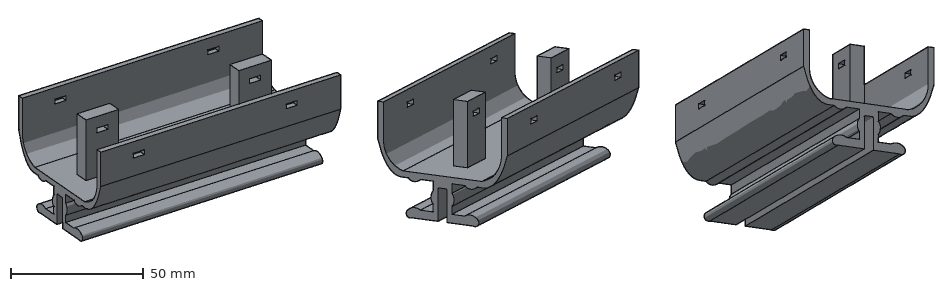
import cadquery as cq
import math

LENGTH = 110.0
WIDTH = 55.0
HEIGHT = 44.0

WALL = 2.5
STRAIGHT_WALL_DEPTH = 14.7
FLOOR_HALF_WIDTH = 16.7
UNDERSIDE_HALF_WIDTH = 16.9
INNER_CORNER_BULGE = 2.4
OUTER_CORNER_LEAD = 1.8
OUTER_CORNER_RUNOUT = 5.6
OUTER_CORNER_DIP = 0.2

NECK_HALF_WIDTH = 4.0
FOOT_THICKNESS = 3.5
CHANNEL_HEIGHT = 12.0
SLOT_HALF_WIDTH = 1.9
SLOT_TOP_Z = 13.2
SLOT_FILLET = 0.6
FOOT_BEAD_END_X = 14.8
FOOT_BEAD_END_Z = 2.9
FOOT_TIP_X = 15.4
FOOT_TIP_Z = 1.8
FOOT_BOTTOM_HALF_WIDTH = 13.0

BEAD_X = 12.0
BEAD_HALF_WIDTH = 2.6
UNDERSIDE_BEAD_HEIGHT = 1.15
NECK_BEAD_HEIGHT = 0.9
NECK_BEAD_Z = 9.2
FOOT_BEAD_HEIGHT = 0.7

POST_WIDTH = 6.0
POST_LENGTH = 15.0
POST_CENTRES_Y = (-37.5, 32.5)
STRAP_SLOT_LENGTH = 5.0
STRAP_SLOT_HEIGHT = 2.0
STRAP_SLOT_DEPTH_BELOW_TOP = 6.0

HALF_WIDTH = WIDTH / 2
INNER_HALF_WIDTH = HALF_WIDTH - WALL
UNDERSIDE_Z = FOOT_THICKNESS + CHANNEL_HEIGHT
FLOOR_Z = UNDERSIDE_Z + WALL
CORNER_Z = HEIGHT - STRAIGHT_WALL_DEPTH


def arc_midpoint(start, end, bulge):
    """Middle point of an arc that rises `bulge` to the right of start -> end."""
    run = end[0] - start[0]
    rise = end[1] - start[1]
    chord = math.hypot(run, rise)
    mid_x = (start[0] + end[0]) / 2 + bulge * rise / chord
    mid_z = (start[1] + end[1]) / 2 - bulge * run / chord
    return (mid_x, mid_z)


def half_section():
    """Right half of the section, closed along the centre plane."""
    inner_start = (FLOOR_HALF_WIDTH, FLOOR_Z)
    inner_end = (INNER_HALF_WIDTH, CORNER_Z)
    foot_bead_start = (BEAD_X - BEAD_HALF_WIDTH, FOOT_THICKNESS)
    foot_bead_top = (BEAD_X, FOOT_THICKNESS + FOOT_BEAD_HEIGHT)
    foot_bead_end = (FOOT_BEAD_END_X, FOOT_BEAD_END_Z)
    return (
        cq.Workplane("XZ")
        .moveTo(0, FLOOR_Z)
        .lineTo(*inner_start)
        .threePointArc(arc_midpoint(inner_start, inner_end, INNER_CORNER_BULGE), inner_end)
        .lineTo(INNER_HALF_WIDTH, HEIGHT)
        .lineTo(HALF_WIDTH, HEIGHT)
        .lineTo(HALF_WIDTH, CORNER_Z)
        .bezier([
            (HALF_WIDTH, CORNER_Z),
            (HALF_WIDTH - OUTER_CORNER_LEAD, (CORNER_Z + UNDERSIDE_Z) / 2),
            (UNDERSIDE_HALF_WIDTH + OUTER_CORNER_RUNOUT, UNDERSIDE_Z - OUTER_CORNER_DIP),
            (UNDERSIDE_HALF_WIDTH, UNDERSIDE_Z),
        ])
        .lineTo(BEAD_X + BEAD_HALF_WIDTH, UNDERSIDE_Z)
        .threePointArc(
            (BEAD_X, UNDERSIDE_Z - UNDERSIDE_BEAD_HEIGHT),
            (BEAD_X - BEAD_HALF_WIDTH, UNDERSIDE_Z),
        )
        .lineTo(NECK_HALF_WIDTH, UNDERSIDE_Z)
        .lineTo(NECK_HALF_WIDTH, NECK_BEAD_Z + BEAD_HALF_WIDTH)
        .threePointArc(
            (NECK_HALF_WIDTH + NECK_BEAD_HEIGHT, NECK_BEAD_Z),
            (NECK_HALF_WIDTH, NECK_BEAD_Z - BEAD_HALF_WIDTH),
        )
        .lineTo(NECK_HALF_WIDTH, FOOT_THICKNESS)
        .lineTo(*foot_bead_start)
        .threePointArc(foot_bead_top, foot_bead_end)
        .threePointArc((FOOT_TIP_X, FOOT_TIP_Z), (FOOT_BOTTOM_HALF_WIDTH, 0))
        .lineTo(SLOT_HALF_WIDTH, 0)
        .lineTo(SLOT_HALF_WIDTH, SLOT_TOP_Z - SLOT_FILLET)
        .radiusArc((SLOT_HALF_WIDTH - SLOT_FILLET, SLOT_TOP_Z), -SLOT_FILLET)
        .lineTo(0, SLOT_TOP_Z)
        .close()
    )


def rail():
    """Full-length rail, symmetric about the YZ plane and centred on Y = 0."""
    half = half_section().extrude(LENGTH).translate((0, LENGTH / 2, 0))
    return half.union(half.mirror("YZ"))


def post(centre_y):
    """Upright block from within the floor to the top of the walls."""
    return (
        cq.Workplane("XY", origin=(0, centre_y, UNDERSIDE_Z))
        .rect(POST_WIDTH, POST_LENGTH)
        .extrude(HEIGHT - UNDERSIDE_Z)
    )


def strap_slot(centre_y):
    """Cutter running across the full width, through both walls and a post."""
    return cq.Workplane("XY").box(WIDTH, STRAP_SLOT_LENGTH, STRAP_SLOT_HEIGHT).translate(
        (0, centre_y, HEIGHT - STRAP_SLOT_DEPTH_BELOW_TOP)
    )


result = rail()
for post_y in POST_CENTRES_Y:
    result = result.union(post(post_y)).cut(strap_slot(post_y))